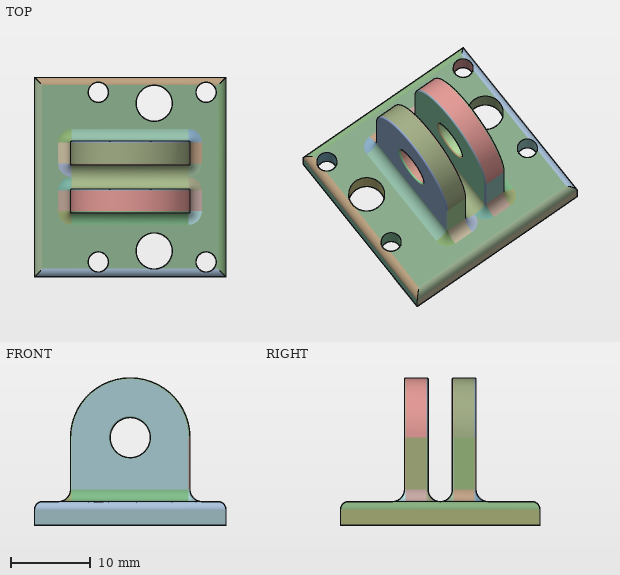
import cadquery as cq

plate_length_x = 24
plate_length_y = 25
plate_thickness = 3
plate_edge_radius = 1

lug_radius = 7.5
lug_width = 2 * lug_radius
lug_thickness = 3
lug_gap = 3
total_height = 18.5
pivot_height = total_height - lug_radius
pivot_diameter = 5
lug_edge_radius = 0.2
root_radius = 1.5
lug_offset_y = (lug_gap + lug_thickness) / 2
pad_rim = 0.5
root_margin = root_radius + pad_rim
selection_margin = 0.25

large_hole_diameter = 4.5
large_hole_x = 3
large_hole_y = 9.25
small_hole_diameter = 2.5
small_hole_x_positions = (-4, 9.5)
small_hole_y = 10.62


def make_plate():
    plate = cq.Workplane("XY").box(
        plate_length_x, plate_length_y, plate_thickness, centered=(True, True, False)
    )
    return plate.faces(">Z").edges().fillet(plate_edge_radius)


def make_lug(center_y):
    """Round-topped lug with a filleted root on a pad that lies inside the plate."""
    lug = (
        cq.Workplane("XZ", origin=(0, center_y + lug_thickness / 2, 0))
        .moveTo(-lug_radius, 0)
        .lineTo(-lug_radius, pivot_height)
        .threePointArc((0, total_height), (lug_radius, pivot_height))
        .lineTo(lug_radius, 0)
        .close()
        .moveTo(0, pivot_height)
        .circle(pivot_diameter / 2)
        .extrude(lug_thickness)
    )
    lug = lug.faces("<Y or >Y").edges().fillet(lug_edge_radius)
    pad = cq.Workplane("XY", origin=(0, center_y, 0)).box(
        lug_width + 2 * root_margin,
        lug_thickness + 2 * root_margin,
        plate_thickness,
        centered=(True, True, False),
    )
    half_x = lug_radius + selection_margin
    half_y = lug_thickness / 2 + selection_margin
    root_edges = cq.selectors.BoxSelector(
        (-half_x, center_y - half_y, plate_thickness - selection_margin),
        (half_x, center_y + half_y, plate_thickness + selection_margin),
    )
    return pad.union(lug).edges(root_edges).edges("#Z").fillet(root_radius)


def drill(body, points, diameter):
    cutter = cq.Workplane("XY").pushPoints(points).circle(diameter / 2).extrude(plate_thickness)
    return body.cut(cutter)


result = make_plate()
for side in (-1, 1):
    result = result.union(make_lug(side * lug_offset_y))

large_points = [(large_hole_x, side * large_hole_y) for side in (-1, 1)]
small_points = [(x, side * small_hole_y) for x in small_hole_x_positions for side in (-1, 1)]
result = drill(result, large_points, large_hole_diameter)
result = drill(result, small_points, small_hole_diameter)